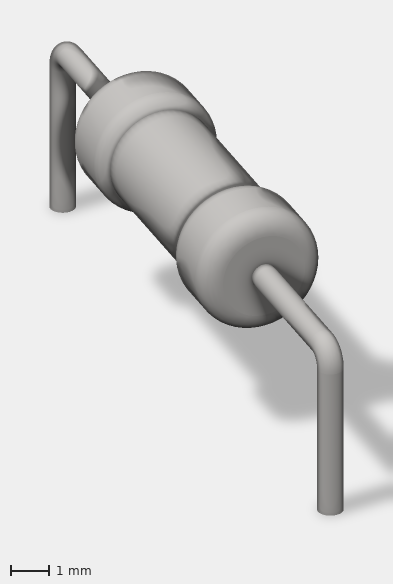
import cadquery as cq

total_length = 18.48
total_height = 6.5

body_length = 8.98
barrel_diameter = 2.94
cap_diameter = 3.5
cap_length = 2.25
cap_rounding = 0.57

wire_diameter = 0.7
bend_radius = 0.52

lead_x = (total_length - wire_diameter) / 2
lead_bottom_z = cap_diameter / 2 - total_height


def make_barrel():
    """Cylinder running through both caps, ending at their middles."""
    length = body_length - cap_length
    start = cq.Workplane("YZ", origin=(-length / 2, 0, 0))
    return start.circle(barrel_diameter / 2).extrude(length)


def make_cap(side):
    """End cap with both rims rounded; side is -1 or +1 along X."""
    inner_x = body_length / 2 - cap_length
    return (
        cq.Workplane("YZ", origin=(side * inner_x, 0, 0))
        .circle(cap_diameter / 2)
        .extrude(side * cap_length)
        .faces("<X or >X")
        .edges()
        .fillet(cap_rounding)
    )


def make_lead(side):
    """Round wire leaving a cap along X, then bending down."""
    start_x = side * (body_length - cap_length) / 2
    bend_start_x = side * (lead_x - bend_radius)
    path = (
        cq.Workplane("XZ")
        .moveTo(start_x, 0)
        .lineTo(bend_start_x, 0)
        .tangentArcPoint((side * lead_x, -bend_radius), relative=False)
        .lineTo(side * lead_x, lead_bottom_z)
    )
    return cq.Workplane("YZ", origin=(start_x, 0, 0)).circle(wire_diameter / 2).sweep(path)


result = make_barrel()
for side in (-1, 1):
    result = result.union(make_cap(side)).union(make_lead(side))